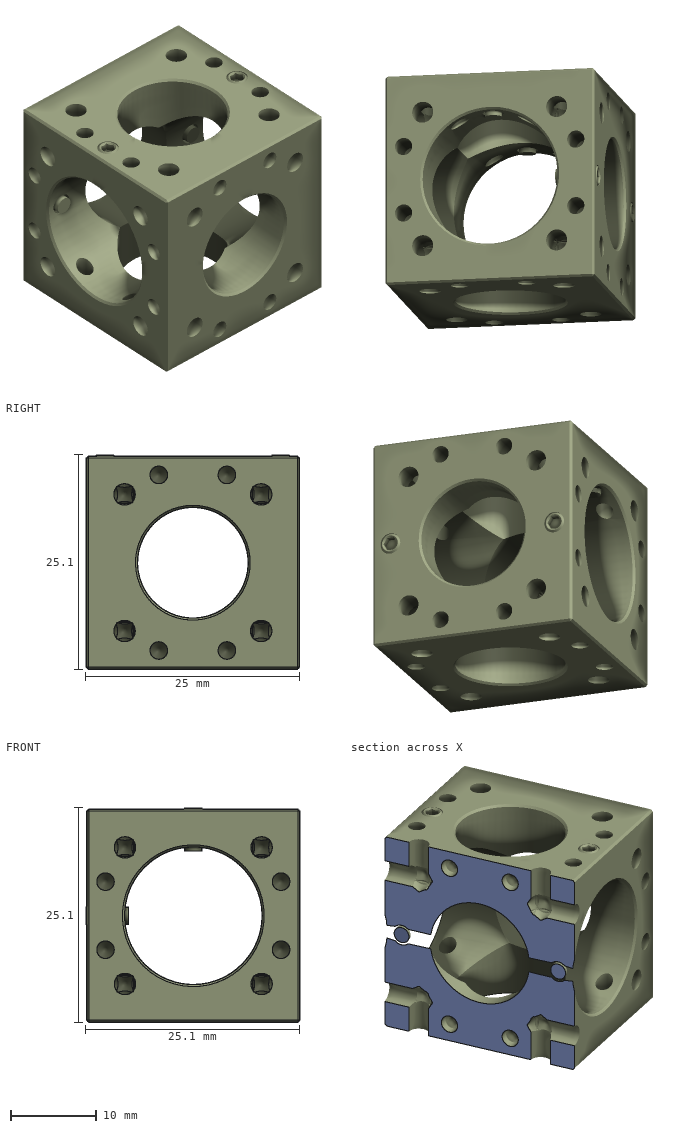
import cadquery as cq
import math

cube_size = 25.0
half_cube = cube_size / 2
edge_chamfer = 0.25
large_bore_diameter = 16.1
small_bore_diameter = 12.95
bore_chamfer = 0.25

blind_hole_depth = 5.5
tip_angle = 118
corner_hole_offset = 8.0
corner_hole_diameter = 2.5
side_hole_diameter = 2.05
side_hole_near_offset = 4.0
side_hole_far_offset = 10.29

screw_protrusion = 0.1
screw_length = 5.02
screw_diameter = 2.5
screw_tip_diameter = 2
screw_tip_length = 1
screw_end_chamfer = (screw_diameter - screw_tip_diameter) / 2
screw_offset = side_hole_far_offset
socket_sides = 6
socket_flats = 1.5
socket_depth = 1
socket_countersink_diameter = 1.9
socket_countersink_depth = 0.2

left_face = cq.Plane((-half_cube, 0, 0), (0, 0, 1), (-1, 0, 0))
right_face = cq.Plane((half_cube, 0, 0), (0, 0, 1), (1, 0, 0))
front_face = cq.Plane((0, -half_cube, 0), (1, 0, 0), (0, -1, 0))
back_face = cq.Plane((0, half_cube, 0), (1, 0, 0), (0, 1, 0))
top_face = cq.Plane((0, 0, half_cube), (1, 0, 0), (0, 0, 1))
bottom_face = cq.Plane((0, 0, -half_cube), (1, 0, 0), (0, 0, -1))
side_faces = [left_face, right_face, front_face, back_face]
all_faces = [*side_faces, top_face, bottom_face]

screw_places = [(plane, y) for plane in (top_face, left_face) for y in (-screw_offset, screw_offset)]


def mirrored_points(x, y):
    """The four points at plus and minus x and y."""
    return [(sx * x, sy * y) for sx in (-1, 1) for sy in (-1, 1)]


def revolved(plane, profile, x, y):
    """Solid turned about the inward normal at (x, y); profile points are (radius, depth)."""
    turned = cq.Workplane("XY").polyline([(r, -depth) for r, depth in profile]).close()
    turned = turned.revolve(360, (0, 0, 0), (0, 1, 0)).rotate((0, 0, 0), (1, 0, 0), 90)
    centre = plane.toWorldCoords((x, y, 0))
    return turned.val().moved(cq.Location(cq.Plane(centre, plane.xDir, plane.zDir)))


def bore_cutter(plane, diameter):
    """Bore through the whole cube with a 45 degree chamfer at both mouths."""
    radius = diameter / 2
    wide = radius + bore_chamfer
    profile = [
        (0, 0),
        (wide, 0),
        (radius, bore_chamfer),
        (radius, cube_size - bore_chamfer),
        (wide, cube_size),
        (0, cube_size),
    ]
    return revolved(plane, profile, 0, 0)


def drilled_hole(plane, diameter, x, y):
    """Blind hole with a conical bottom."""
    radius = diameter / 2
    cone_height = radius / math.tan(math.radians(tip_angle / 2))
    tip_depth = blind_hole_depth + cone_height
    return revolved(plane, [(0, 0), (radius, 0), (radius, blind_hole_depth), (0, tip_depth)], x, y)


def corner_holes(plane):
    """Four blind holes near the corners of one face."""
    points = mirrored_points(corner_hole_offset, corner_hole_offset)
    return [drilled_hole(plane, corner_hole_diameter, x, y) for x, y in points]


def blind_side_holes(plane):
    """Four blind holes in two pairs along opposite edges of one face."""
    points = mirrored_points(side_hole_far_offset, side_hole_near_offset)
    return [drilled_hole(plane, side_hole_diameter, x, y) for x, y in points]


def through_side_holes():
    """Holes that run from the top face to the bottom face."""
    holes = cq.Workplane(bottom_face)
    holes = holes.pushPoints(mirrored_points(side_hole_near_offset, side_hole_far_offset))
    return holes.circle(side_hole_diameter / 2).extrude(-cube_size).vals()


def screw_envelope(plane, y):
    """Outside of a set screw: chamfered head end, full body and a narrower flat tip."""
    body = screw_diameter / 2
    tip = screw_tip_diameter / 2
    head_depth = -screw_protrusion
    end_depth = head_depth + screw_length
    shoulder_depth = end_depth - screw_tip_length
    profile = [
        (0, head_depth),
        (tip, head_depth),
        (body, head_depth + screw_end_chamfer),
        (body, shoulder_depth - screw_end_chamfer),
        (tip, shoulder_depth),
        (tip, end_depth),
        (0, end_depth),
    ]
    return revolved(plane, profile, 0, y)


def screw_hole(plane, y):
    """Hole for a set screw, running from the face into the large bore."""
    depth = half_cube
    radius = screw_diameter / 2
    return revolved(plane, [(0, 0), (radius, 0), (radius, depth), (0, depth)], 0, y)


def make_set_screw(plane, y):
    """Set screw with a countersunk hexagon socket; two socket flats face along local x."""
    head = cq.Workplane(plane).workplane(offset=screw_protrusion).center(0, y)
    socket = head.polygon(socket_sides, socket_flats, circumscribed=True).extrude(-socket_depth)
    radius = socket_countersink_diameter / 2
    floor_radius = socket_flats / 2
    top = -screw_protrusion
    floor = top + socket_countersink_depth
    countersink = revolved(plane, [(0, top), (radius, top), (floor_radius, floor), (0, floor)], 0, y)
    return screw_envelope(plane, y).cut(socket.val(), countersink).Solids()[0]


def make_housing():
    """Chamfered cube with its bores and holes."""
    block = cq.Workplane("XY").box(cube_size, cube_size, cube_size).edges().chamfer(edge_chamfer)
    cutters = [
        bore_cutter(front_face, large_bore_diameter),
        bore_cutter(left_face, small_bore_diameter),
        bore_cutter(top_face, small_bore_diameter),
    ]
    for face in all_faces:
        cutters += corner_holes(face)
    for face in side_faces:
        cutters += blind_side_holes(face)
    cutters += through_side_holes()
    cutters += [screw_hole(plane, y) for plane, y in screw_places]
    return block.val().cut(*cutters).Solids()[0]


housing = make_housing()
set_screws = [make_set_screw(plane, y) for plane, y in screw_places]

result = cq.Compound.makeCompound([housing, *set_screws])